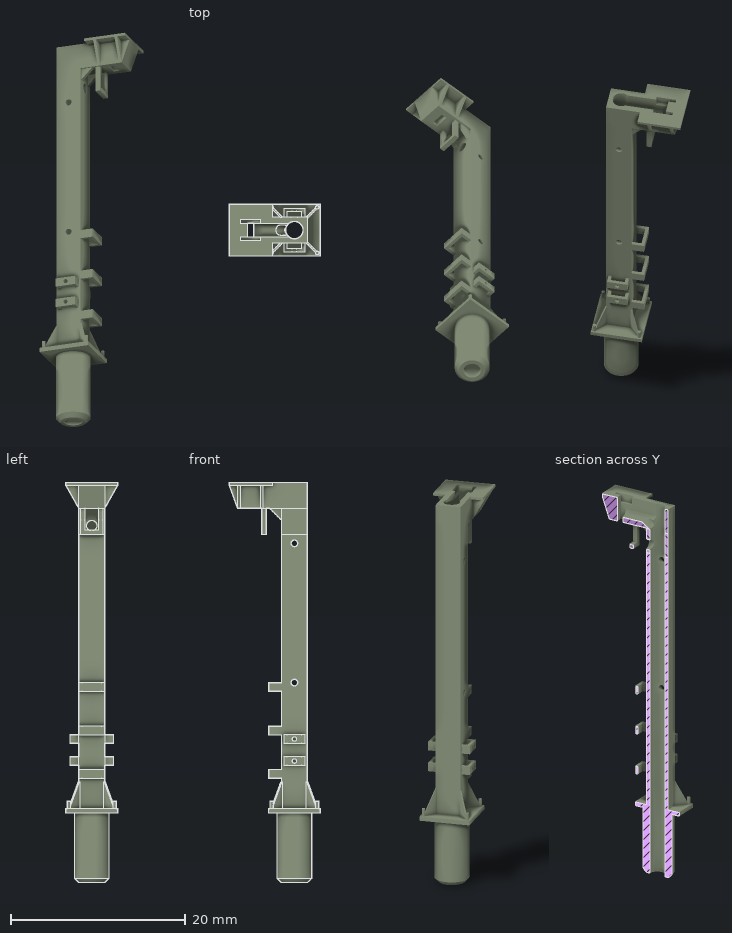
import cadquery as cq
import math


total_height = 46.0
head_height = 3.0
neck_height = 3.0
head_bottom = total_height - head_height
neck_bottom = head_bottom - neck_height

post_side = 3.0
post_half = post_side / 2
bore_dia = 2.0
spigot_dia = 4.0
spigot_length = 8.0
spigot_chamfer = 0.5
flange_side = 6.0
flange_thickness = 0.5
flange_top = spigot_length + flange_thickness

bolt_dia = 0.4
bolt_height = 0.87
bolt_offset = 2.6
web_height = 3.1
web_thickness = 0.2

strap_thickness = 0.35
strap_height = 1.0
rung_reach = 1.45
rung_tops = (13.0, 18.0, 23.0)
clip_width = 2.4
clip_reach = 1.0
clip_tops = (14.5, 17.0)
clip_hole_dia = 0.5

side_hole_dia = 0.75
side_hole_heights = (23.0, 39.0)
wire_hole_dia = 1.2
neck_hole_height = 41.05

plate_length = 5.0
plate_width = 6.0
plate_thickness = 0.3
plate_tip_x = -7.5
plate_bottom = total_height - plate_thickness
arm_tip_x = -6.55
wing_thickness = 0.3
groove_front_x = arm_tip_x + wing_thickness
groove_back_x = -3.9
wing_xs = (arm_tip_x, groove_back_x)
groove_span = 2.4
groove_depth = 0.9
slot_width = 1.55
slot_front_x = -4.7
slot_axis_depth = 1.5
window_length = 0.7
sloping_hole_x = -1.05
sloping_hole_angle = 35.0

loop_back_x = -3.2
loop_thickness = 0.55
loop_width = 2.58
loop_opening = 1.55
loop_bar_height = 0.5
gusset_size = 1.35


def block(x_min, x_max, y_min, y_max, z_min, z_max):
    """Axis-aligned box between the given limits."""
    size = (x_max - x_min, y_max - y_min, z_max - z_min)
    return cq.Workplane("XY").box(*size, centered=False).translate((x_min, y_min, z_min))


def post_segment(z_min, z_max):
    """Solid length of the square post."""
    return block(-post_half, post_half, -post_half, post_half, z_min, z_max)


def rod_z(diameter, z_min, z_max):
    """Upright cylinder on the column axis."""
    return cq.Workplane("XY").workplane(offset=z_min).circle(diameter / 2).extrude(z_max - z_min)


def rod_y(diameter, length, z):
    """Cylinder along Y, centred on the column axis at height z."""
    return cq.Workplane("XZ").center(0, z).circle(diameter / 2).extrude(length / 2, both=True)


def strap(width, reach, top):
    """U-shaped strap standing out along -X from the -X face of the column."""
    outer_x = -post_half - reach
    bottom = top - strap_height
    inner_half = width / 2 - strap_thickness
    outer = block(outer_x, -post_half, -width / 2, width / 2, bottom, top)
    return outer.cut(block(outer_x + strap_thickness, -post_half, -inner_half, inner_half, bottom, top))


def clip_pair(top):
    """Straps with a centre hole on the -Y and +Y faces of the column."""
    clip = strap(clip_width, clip_reach, top).rotate((0, 0, 0), (0, 0, 1), 90)
    pair = clip.union(clip.mirror("XZ"))
    return pair.cut(rod_y(clip_hole_dia, flange_side, top - strap_height / 2))


def foot():
    """Spigot with a chamfered end, and the square flange above it."""
    spigot = rod_z(spigot_dia, 0, spigot_length).faces("<Z").chamfer(spigot_chamfer)
    half = flange_side / 2
    return spigot.union(block(-half, half, -half, half, spigot_length, flange_top))


def corner_stay(angle):
    """Triangular web on one column corner, ending at a bolt on the flange corner."""
    corner = post_half * math.sqrt(2)
    bolt_distance = bolt_offset * math.sqrt(2)
    web = (
        cq.Workplane("XZ")
        .polyline([(0, 0), (bolt_distance, 0), (corner, web_height), (0, web_height)])
        .close()
        .extrude(web_thickness / 2, both=True)
    )
    bolt = cq.Workplane("XY").center(bolt_distance, 0).circle(bolt_dia / 2).extrude(bolt_height)
    return web.union(bolt).translate((0, 0, flange_top)).rotate((0, 0, 0), (0, 0, 1), angle)


def make_column():
    """Bored square column with foot, corner stays, rungs and clips."""
    column = foot().union(post_segment(flange_top, neck_bottom))
    for angle in (45, 135, 225, 315):
        column = column.union(corner_stay(angle))
    for top in rung_tops:
        column = column.union(strap(post_side, rung_reach, top))
    for top in clip_tops:
        column = column.union(clip_pair(top))
    for height in side_hole_heights:
        column = column.cut(rod_y(side_hole_dia, post_side, height))
    return column.cut(rod_z(bore_dia, 0, neck_bottom))


def make_neck():
    """Bored post segment with a wire hole through its -X wall."""
    wire_hole = cq.Workplane("YZ").center(0, neck_hole_height).circle(wire_hole_dia / 2).extrude(-post_side)
    return post_segment(neck_bottom, head_bottom).cut(rod_z(bore_dia, neck_bottom, head_bottom)).cut(wire_hole)


def arm():
    """Overhanging arm, with a front face that slopes out to the tip of the top plate."""
    return (
        cq.Workplane("XZ")
        .polyline(
            [
                (post_half, head_bottom),
                (post_half, total_height),
                (plate_tip_x, total_height),
                (plate_tip_x, plate_bottom),
                (arm_tip_x, head_bottom),
            ]
        )
        .close()
        .extrude(post_half, both=True)
    )


def top_plate():
    """Thin plate on top of the arm, wider than the arm."""
    half = plate_width / 2
    return block(plate_tip_x, plate_tip_x + plate_length, -half, half, plate_bottom, total_height)


def wing(x):
    """Tapered web under the plate, on both sides of the arm."""
    return (
        cq.Workplane("YZ")
        .workplane(offset=x)
        .polyline(
            [
                (-post_half, head_bottom),
                (post_half, head_bottom),
                (plate_width / 2, plate_bottom),
                (-plate_width / 2, plate_bottom),
            ]
        )
        .close()
        .extrude(wing_thickness)
    )


def wire_channel():
    """Round-bottomed slot along the arm, from the window to the bore."""
    half = slot_width / 2
    axis_z = total_height - slot_axis_depth
    upper = block(slot_front_x, 0, -half, half, axis_z, total_height)
    round_bottom = cq.Workplane("YZ").center(0, axis_z).circle(half).extrude(slot_front_x)
    return upper.union(round_bottom)


def window():
    """Rectangular opening through the arm in front of the wire channel."""
    half = slot_width / 2
    return block(slot_front_x - window_length, slot_front_x, -half, half, head_bottom, total_height)


def side_groove():
    """Groove in the top of the arm, along the +Y side of the window and channel."""
    floor = total_height - groove_depth
    return block(groove_front_x, groove_back_x, slot_width / 2, groove_span / 2, floor, total_height)


def sloping_wire_hole():
    """Inclined hole falling from the channel floor into the bore."""
    channel_floor = total_height - slot_axis_depth - slot_width / 2
    hole = cq.Workplane("YZ").circle(wire_hole_dia / 2).extrude(bore_dia / 2, both=True)
    tilted = hole.rotate((0, 0, 0), (0, 1, 0), sloping_hole_angle)
    return tilted.translate((sloping_hole_x, 0, channel_floor))


def hanging_loop():
    """Rectangular loop below the arm."""
    front_x = loop_back_x - loop_thickness
    outer_half = loop_width / 2
    inner_half = loop_opening / 2
    outer = block(front_x, loop_back_x, -outer_half, outer_half, neck_bottom, head_bottom)
    opening_bottom = neck_bottom + loop_bar_height
    return outer.cut(block(front_x, loop_back_x, -inner_half, inner_half, opening_bottom, head_bottom))


def gussets():
    """Pair of triangular gussets between the arm and the neck, in line with the loop's legs."""
    outline = [
        (-post_half, head_bottom),
        (-post_half - gusset_size, head_bottom),
        (-post_half, head_bottom - gusset_size),
    ]
    pair = cq.Workplane("XZ").polyline(outline).close().extrude(loop_width / 2, both=True)
    half = loop_opening / 2
    gap = block(-post_half - gusset_size, -post_half, -half, half, head_bottom - gusset_size, head_bottom)
    return pair.cut(gap)


def make_head():
    """Arm with its plate, wings, hanging loop, gussets and wire channel."""
    head = arm().union(top_plate())
    for x in wing_xs:
        head = head.union(wing(x))
    head = head.union(hanging_loop()).union(gussets())
    head = head.cut(window()).cut(side_groove()).cut(side_groove().mirror("XZ"))
    head = head.cut(wire_channel()).cut(sloping_wire_hole())
    return head.cut(rod_z(bore_dia, head_bottom, total_height))


column = make_column()
neck = make_neck()
head = make_head()
result = cq.Compound.makeCompound([column.val(), neck.val(), head.val()])